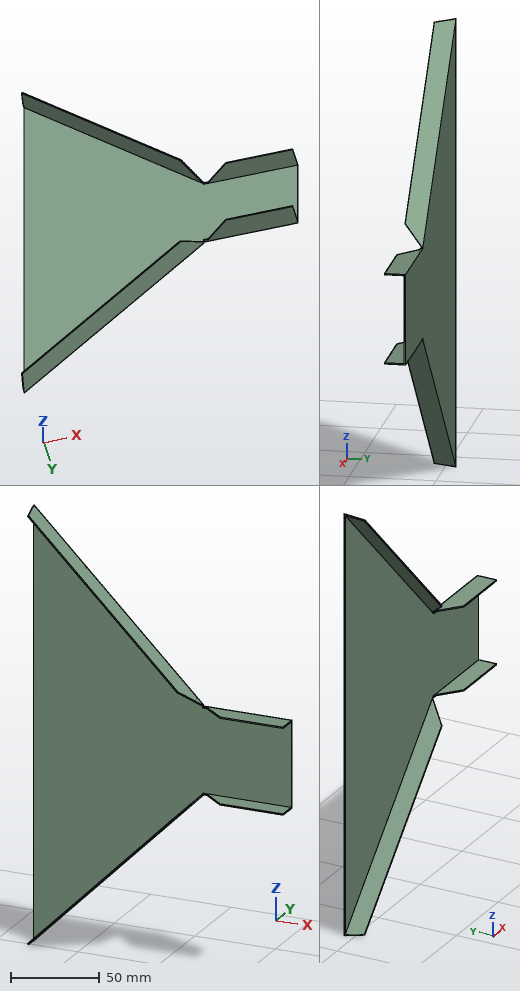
import cadquery as cq
import math

length = 160.0
height = 264.2
depth = 12.2
sheet = 0.8
neck_height = 53.4
neck_start = 105.0
corner_step = 0.8

wide_end_setback = 3.0
funnel_end_setback = 14.5
neck_relief = 3.0
lip_depth = 1.3
neck_end_setback = 15.8

half_height = height / 2
half_neck = neck_height / 2
funnel_drop = half_height - half_neck - corner_step
funnel_edge = math.hypot(neck_start, funnel_drop)
funnel_angle = math.degrees(math.atan2(funnel_drop, neck_start))
neck_length = length - neck_start


def make_plate():
    """Flat funnel-shaped sheet with its back face on Y = 0."""
    outline = [
        (0, -half_height),
        (neck_start, -half_neck - corner_step),
        (neck_start, -half_neck),
        (length, -half_neck),
        (length, half_neck),
        (neck_start, half_neck),
        (neck_start, half_neck + corner_step),
        (0, half_height),
    ]
    return cq.Workplane("XZ").polyline(outline).close().extrude(sheet)


def make_flange(profile):
    """Wall along +X from the origin, its outer face on Z = 0."""
    return cq.Workplane("XY").polyline(profile).close().extrude(-sheet)


def make_funnel_flange():
    """Upper sloping flange, with both ends cut back towards the rim."""
    profile = [
        (0, 0),
        (funnel_edge, 0),
        (funnel_edge, -sheet),
        (funnel_edge - funnel_end_setback, -depth),
        (wide_end_setback, -depth),
    ]
    flange = make_flange(profile).rotate((0, 0, 0), (0, 1, 0), funnel_angle)
    return flange.translate((0, 0, half_height))


def make_neck_flange():
    """Upper straight flange, cut back at the corner with the funnel."""
    profile = [
        (0, 0),
        (neck_length, 0),
        (neck_length, -depth),
        (neck_end_setback, -depth),
        (neck_relief, -lip_depth),
        (0, -lip_depth),
    ]
    return make_flange(profile).translate((neck_start, 0, half_neck))


result = make_plate()
for upper_flange in (make_funnel_flange(), make_neck_flange()):
    result = result.union(upper_flange).union(upper_flange.mirror("XY"))

wide_end_trim = cq.Workplane("XY").box(length, depth, height, centered=(False, False, True))
result = result.intersect(wide_end_trim.translate((0, -depth, 0)))